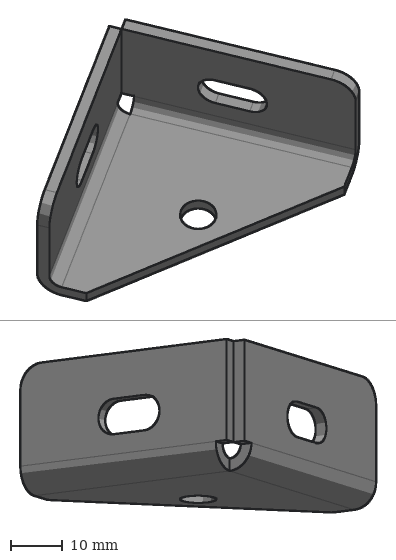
import cadquery as cq

length = 50.0
height = 25.0
thickness = 2.5
inner_radius = 2.5
wall_corner_radius = 5.0
edge_land = 10.0
hole_diameter = 7.0
slot_length = 14.0

outer_radius = inner_radius + thickness
wall_length = length - thickness
bend_length = length - outer_radius
middle = length / 2
slot_height = height / 2


def make_base():
    """Flat triangular plate between the bends, with a central hole."""
    outline = [
        (outer_radius, 0),
        (edge_land, 0),
        (length, length - edge_land),
        (length, bend_length),
        (outer_radius, bend_length),
    ]
    plate = cq.Workplane("XY").polyline(outline).close().extrude(thickness)
    hole = cq.Workplane("XY").center(middle, middle).circle(hole_diameter / 2).extrude(thickness)
    return plate.cut(hole)


def make_bend():
    """Quarter-round bend along Y, joining the base to the wall at X = 0."""
    ring = (
        cq.Workplane("XZ", origin=(outer_radius, 0, outer_radius))
        .circle(outer_radius)
        .circle(inner_radius)
        .extrude(-bend_length)
    )
    quarter = cq.Workplane("XY").box(outer_radius, bend_length, outer_radius, centered=False)
    return ring.intersect(quarter)


def make_wall():
    """Slotted upright wall at X = 0, above the bend."""
    wall = (
        cq.Workplane("XY", origin=(0, 0, outer_radius))
        .box(thickness, wall_length, height - outer_radius, centered=False)
        .edges("|X and <Y and >Z")
        .fillet(wall_corner_radius)
    )
    slot = (
        cq.Workplane("YZ")
        .center(middle, slot_height)
        .slot2D(slot_length, hole_diameter)
        .extrude(thickness)
    )
    return wall.cut(slot)


def mirror_to_back(side):
    """Swap the wall at X = 0 for the matching one at Y = length."""
    turned = side.rotate((middle, middle, 0), (middle, middle, 1), -90)
    return turned.mirror("YZ", (middle, middle, 0))


side = make_bend().union(make_wall())
result = make_base().union(side).union(mirror_to_back(side))